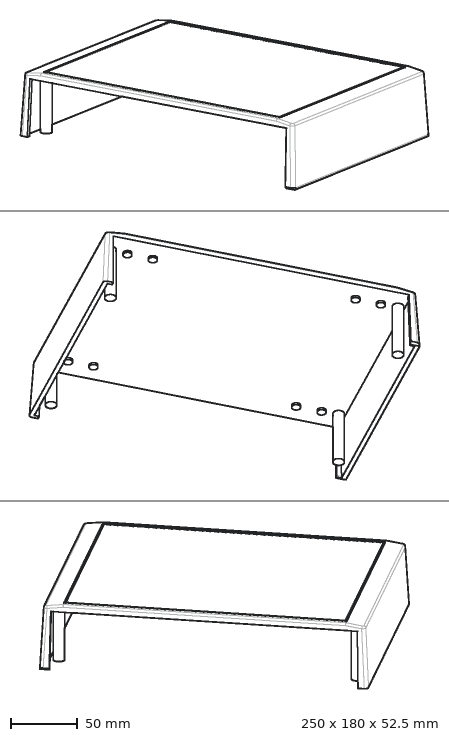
import cadquery as cq
import math

length = 250.0
width = 180.0
height = 52.5

draft_angle = 3.0
crown_half = 107.5
crown_drop = 2.0
corner_radius = 2.8
top_radius = 1.8

plate_thickness = 5.8
inner_half_foot = 117.5
inner_half_top = 116.8
lip_height = 1.8
leg_wall = 3.8
rib_width = 3.0

groove_length = 2 * crown_half
groove_width = 165.0
groove_gap = 1.0
groove_depth = 1.0

post_diameter = 8.8
post_x = 113.5
post_y = 70.8
pad_diameter = 6.8
pad_height = 1.8
pad_xs = (80.0, 100.0)

underside = height - plate_thickness


def draft_run(rise):
    """Inward lean of a drafted face over a given rise."""
    return rise * math.tan(math.radians(draft_angle))


def edges_between(low, high, half_depth=width):
    """Selector for edges centred between two heights, within half_depth of the XZ plane."""
    return cq.selectors.BoxSelector((-length, -half_depth, low), (length, half_depth, high))


def outer_shell():
    """Drafted block with a crowned top and rounded outer edges."""
    end_height = height - crown_drop
    end_half = length / 2 - draft_run(end_height - lip_height)
    top_half_width = width / 2 - draft_run(height - lip_height)
    side_profile = (
        cq.Workplane("XZ")
        .polyline([
            (-length / 2, lip_height),
            (length / 2, lip_height),
            (end_half, end_height),
            (crown_half, height),
            (-crown_half, height),
            (-end_half, end_height),
        ])
        .close()
        .extrude(width / 2, both=True)
    )
    end_profile = (
        cq.Workplane("YZ")
        .polyline([
            (-width / 2, lip_height),
            (width / 2, lip_height),
            (top_half_width, height),
            (-top_half_width, height),
        ])
        .close()
        .extrude(length / 2, both=True)
    )
    block = side_profile.intersect(end_profile)
    block = block.edges(edges_between(end_height / 3, 2 * end_height / 3)).fillet(corner_radius)
    rim = edges_between(end_height - crown_drop, height + crown_drop)
    crown_lines = edges_between(height - crown_drop / 4, height + crown_drop, width / 4)
    return block.edges(rim - crown_lines).fillet(top_radius)


def foot_lip():
    """Lip under the +X leg and its ribs, bevelled at both ends."""
    slab = (
        cq.Workplane("XY")
        .box(length, width, lip_height, centered=(True, True, False))
        .edges("|Z").fillet(corner_radius)
    )
    recess = (
        cq.Workplane("XY")
        .box(length - 2 * leg_wall, width - 2 * rib_width, lip_height, centered=(True, True, False))
    )
    bevelled_ends = (
        cq.Workplane("YZ")
        .polyline([
            (lip_height - width / 2, 0),
            (width / 2 - lip_height, 0),
            (width / 2, lip_height),
            (-width / 2, lip_height),
        ])
        .close()
        .extrude(length)
    )
    return slab.cut(recess).cut(hollow()).intersect(bevelled_ends)


def hollow():
    """Space between the legs, open through both long sides."""
    return (
        cq.Workplane("XZ")
        .polyline([
            (-inner_half_foot, 0),
            (inner_half_foot, 0),
            (inner_half_top, underside),
            (-inner_half_top, underside),
        ])
        .close()
        .extrude(width, both=True)
    )


def leg_recesses():
    """Tapered recess thinning both legs between their end ribs."""
    foot_x = length / 2 - leg_wall
    foot_y = width / 2 - rib_width
    rise = underside - lip_height
    return (
        cq.Workplane("XY")
        .workplane(offset=lip_height)
        .rect(2 * foot_x, 2 * foot_y)
        .workplane(offset=rise)
        .rect(2 * (foot_x - draft_run(rise)), 2 * (foot_y - draft_run(rise)))
        .loft(ruled=True)
    )


def panel_groove():
    """Narrow rectangular groove in the level part of the top."""
    base = cq.Workplane("XY").workplane(offset=height - groove_depth)
    return (
        base.rect(groove_length, groove_width)
        .rect(groove_length - 2 * groove_gap, groove_width - 2 * groove_gap)
        .extrude(2 * groove_depth)
    )


def hanging_cylinders(xs, diameter, drop):
    """Cylinders below the plate, mirrored about both centre planes."""
    spots = [(sx * x, sy * post_y) for x in xs for sx in (-1, 1) for sy in (-1, 1)]
    return (
        cq.Workplane("XY")
        .workplane(offset=underside - drop)
        .pushPoints(spots)
        .circle(diameter / 2)
        .extrude(drop + plate_thickness / 2)
    )


result = (
    outer_shell()
    .cut(hollow())
    .cut(leg_recesses())
    .union(foot_lip())
    .cut(panel_groove())
    .union(hanging_cylinders([post_x], post_diameter, underside - lip_height))
    .union(hanging_cylinders(pad_xs, pad_diameter, pad_height))
)